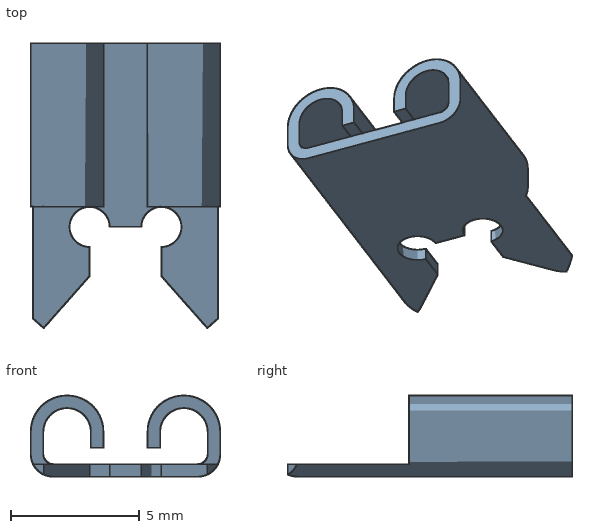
import cadquery as cq

length = 11.1
width = 7.39
height = 3.17
thickness = 0.5

roll_length = 6.37
roll_radius = 1.42
lip_bottom = 1.13
bend_radius = 0.89

web_length = 7.16
hole_radius = 0.78
hole_offset = 1.4
prong_taper_start = 9.08
tip_offset = 3.19
tip_corner_offset = 3.63
tip_corner_length = 10.71

half_width = width / 2
roll_center_x = half_width - roll_radius
roll_center_z = height - roll_radius
inner_bend_radius = bend_radius - thickness
lip_outer_x = half_width - 2 * roll_radius
lip_inner_x = lip_outer_x + thickness
wall_inner_x = half_width - thickness
bend_center_x = half_width - bend_radius
web_end_y = length - web_length


def half_section():
    """Cross-section of the +X half: floor, bend, wall and inward roll, extruded along Y."""
    diagonal = 0.5 ** 0.5
    return (
        cq.Workplane("XZ", origin=(0, length, 0))
        .moveTo(0, 0)
        .lineTo(bend_center_x, 0)
        .threePointArc(
            (bend_center_x + bend_radius * diagonal, bend_radius * (1 - diagonal)),
            (half_width, bend_radius),
        )
        .lineTo(half_width, roll_center_z)
        .threePointArc((roll_center_x, height), (lip_outer_x, roll_center_z))
        .lineTo(lip_outer_x, lip_bottom)
        .lineTo(lip_inner_x, lip_bottom)
        .lineTo(lip_inner_x, roll_center_z)
        .threePointArc((roll_center_x, height - thickness), (wall_inner_x, roll_center_z))
        .lineTo(wall_inner_x, bend_radius)
        .threePointArc(
            (bend_center_x + inner_bend_radius * diagonal, bend_radius - inner_bend_radius * diagonal),
            (bend_center_x, thickness),
        )
        .lineTo(0, thickness)
        .close()
        .extrude(length)
    )


def above_floor():
    """Material removed so that only the floor thickness remains in front of the rolls."""
    return cq.Workplane("XY").box(
        width, length - roll_length, height, centered=(True, False, False)
    ).translate((0, 0, thickness))


def half_blank():
    """Flat outline of the +X half with its pointed prong."""
    chamfer_slope = (length - tip_corner_length) / (tip_corner_offset - tip_offset)
    side_y = chamfer_slope * (half_width - tip_offset)
    return (
        cq.Workplane("XY")
        .polyline([
            (0, length),
            (half_width, length),
            (half_width, side_y),
            (tip_offset, 0),
            (hole_offset, length - prong_taper_start),
            (hole_offset, web_end_y),
            (0, web_end_y),
        ])
        .close()
        .extrude(height)
    )


def relief_hole():
    """Round relief at the root of the +X prong."""
    return cq.Workplane("XY").center(hole_offset, web_end_y).circle(hole_radius).extrude(thickness)


half = half_section().cut(above_floor()).intersect(half_blank()).cut(relief_hole())
result = half.union(half.mirror("YZ")).clean()